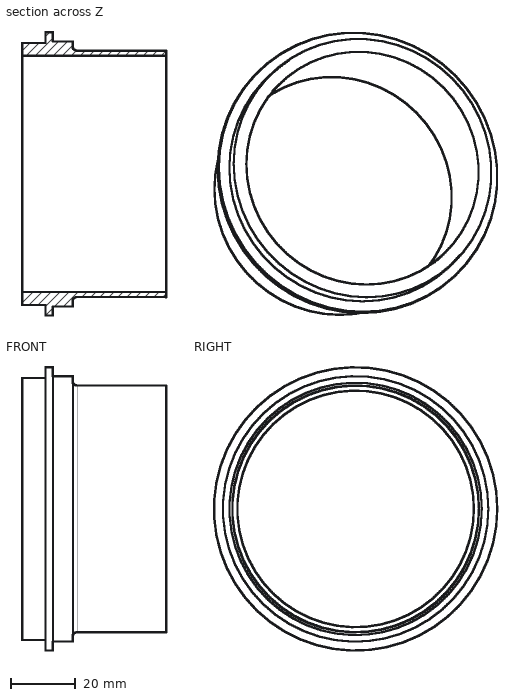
import cadquery as cq
import math

bore_diameter = 72.9
spigot_diameter = 80.95
flange_diameter = 87.48
shoulder_diameter = 81.89
tube_diameter = 76.2

total_length = 44.45
spigot_length = 7.14
flange_thickness = 2.36
shoulder_length = 6.1

root_arc_radius = 1.6
root_arc_length = 1.4

tube_end_chamfer = 0.1

bore_radius = bore_diameter / 2
spigot_radius = spigot_diameter / 2
flange_radius = flange_diameter / 2
shoulder_radius = shoulder_diameter / 2
tube_radius = tube_diameter / 2

flange_start = 0
spigot_start = flange_start - spigot_length
flange_end = flange_start + flange_thickness
shoulder_end = flange_end + shoulder_length
root_arc_end = shoulder_end + root_arc_length
tube_end = spigot_start + total_length


def root_arc_height(distance_to_tangent):
    """Height of the root arc above the tube, at a distance along X from its tangent point."""
    return root_arc_radius - math.sqrt(root_arc_radius**2 - distance_to_tangent**2)


def half_section():
    """Wall of the sleeve on one side of the X axis."""
    root_arc_start = (shoulder_end, tube_radius + root_arc_height(root_arc_length))
    root_arc_middle = (
        shoulder_end + root_arc_length / 2,
        tube_radius + root_arc_height(root_arc_length / 2),
    )
    return (
        cq.Workplane("XY")
        .moveTo(spigot_start, bore_radius)
        .lineTo(spigot_start, spigot_radius)
        .lineTo(flange_start, spigot_radius)
        .lineTo(flange_start, flange_radius)
        .lineTo(flange_end, flange_radius)
        .lineTo(flange_end, shoulder_radius)
        .lineTo(shoulder_end, shoulder_radius)
        .lineTo(*root_arc_start)
        .threePointArc(root_arc_middle, (root_arc_end, tube_radius))
        .lineTo(tube_end - tube_end_chamfer, tube_radius)
        .lineTo(tube_end, tube_radius - tube_end_chamfer)
        .lineTo(tube_end, bore_radius)
        .close()
    )


result = half_section().revolve(360, (0, 0, 0), (1, 0, 0))